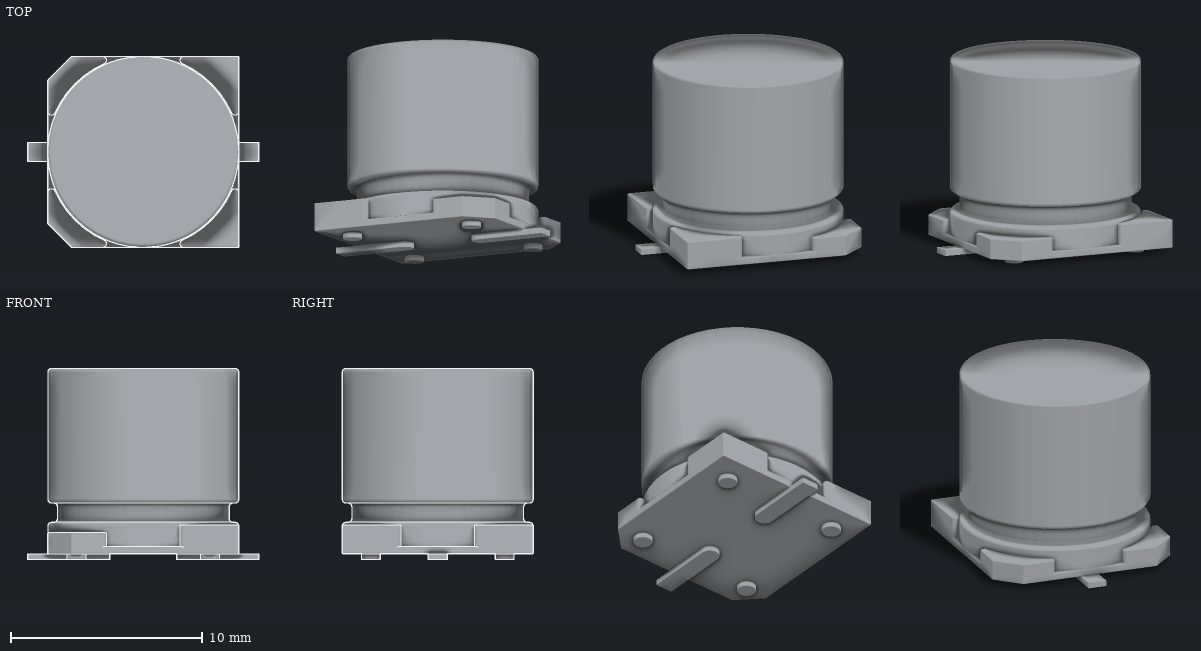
import cadquery as cq

total_height = 10.0
body_width = 10.0
lead_span = 12.1

can_radius = body_width / 2
neck_radius = 4.5
can_round = 0.2
groove_bottom = 1.95
groove_top = 2.95

base_bottom = 0.3
floor_height = 0.68
low_block_top = 1.4
tall_block_top = 1.8
corner_chamfer = 1.25
seat_radius = 5.05
notch_half_width = 1.93
block_corner_round = 0.19
edge_round = 0.05

lead_width = 1.0
lead_inner_end = 1.75
foot_diameter = 1.0
foot_offset = 3.5
foot_edge_round = 0.05


def make_can():
    """Revolve the can, whose crimp groove and top rim have rounded edges."""
    shoulder_radius = can_radius - can_round
    flank_radius = neck_radius + can_round
    profile = (
        cq.Workplane("XZ")
        .moveTo(0, floor_height)
        .lineTo(can_radius, floor_height)
        .lineTo(can_radius, groove_bottom - can_round)
        .radiusArc((shoulder_radius, groove_bottom), -can_round)
        .lineTo(flank_radius, groove_bottom)
        .radiusArc((neck_radius, groove_bottom + can_round), can_round)
        .lineTo(neck_radius, groove_top - can_round)
        .radiusArc((flank_radius, groove_top), can_round)
        .lineTo(shoulder_radius, groove_top)
        .radiusArc((can_radius, groove_top + can_round), -can_round)
        .lineTo(can_radius, total_height - can_round)
        .radiusArc((shoulder_radius, total_height), -can_round)
        .lineTo(0, total_height)
        .close()
    )
    return profile.revolve(360, (0, 0, 0), (0, 1, 0))


def make_base_outline(bottom, top):
    """Square slab with its two -X corners cut off and its upright edges rounded."""
    slab = cq.Workplane("XY", origin=(0, 0, bottom)).rect(body_width, body_width).extrude(top - bottom)
    slab = slab.edges("|Z and <X").chamfer(corner_chamfer)
    return slab.edges("|Z").fillet(edge_round)


def make_corner_block(x_side, y_side, top):
    """Corner block around the can seat, with rounded ends beside the notches."""
    block_size = can_radius - notch_half_width
    block_center = (can_radius + notch_half_width) / 2
    corner_column = (
        cq.Workplane("XY", origin=(x_side * block_center, y_side * block_center, base_bottom))
        .rect(block_size, block_size)
        .extrude(top - base_bottom)
    )
    seat = cq.Workplane("XY").circle(seat_radius).extrude(total_height)
    block = make_base_outline(base_bottom, top).intersect(corner_column).cut(seat)
    end_reach = notch_half_width + block_corner_round
    end_box_x = cq.selectors.BoxSelector(
        (x_side * (notch_half_width - edge_round), 0, 0),
        (x_side * end_reach, y_side * (can_radius + edge_round), total_height),
    )
    end_box_y = cq.selectors.BoxSelector(
        (0, y_side * (notch_half_width - edge_round), 0),
        (x_side * (can_radius + edge_round), y_side * end_reach, total_height),
    )
    block = block.edges("|Z").edges(end_box_x + end_box_y).fillet(block_corner_round)
    return block.faces("<Z or >Z").edges().fillet(edge_round)


def make_base():
    """Base plate with two low blocks on the -X side and two tall ones on the +X side."""
    base = make_base_outline(base_bottom, floor_height)
    base = base.faces("<Z or >Z").edges().fillet(edge_round)
    for y_side in (-1, 1):
        base = base.union(make_corner_block(-1, y_side, low_block_top))
        base = base.union(make_corner_block(1, y_side, tall_block_top))
    return base


def make_lead(x_side):
    """Flat lead with a round inner end."""
    round_center = lead_inner_end + lead_width / 2
    tip = lead_span / 2
    strip = (
        cq.Workplane("XY", origin=(x_side * (round_center + tip) / 2, 0, 0))
        .rect(tip - round_center, lead_width)
        .extrude(base_bottom)
    )
    inner_end = cq.Workplane("XY").center(x_side * round_center, 0).circle(lead_width / 2).extrude(base_bottom)
    return strip.union(inner_end)


def make_feet():
    """Four round standoff feet with rounded rims under the base."""
    feet = (
        cq.Workplane("XY")
        .rect(2 * foot_offset, 2 * foot_offset, forConstruction=True)
        .vertices()
        .circle(foot_diameter / 2)
        .extrude(base_bottom)
    )
    return feet.faces("<Z or >Z").edges().fillet(foot_edge_round)


result = make_base().union(make_can()).union(make_feet())
for side in (-1, 1):
    result = result.union(make_lead(side))